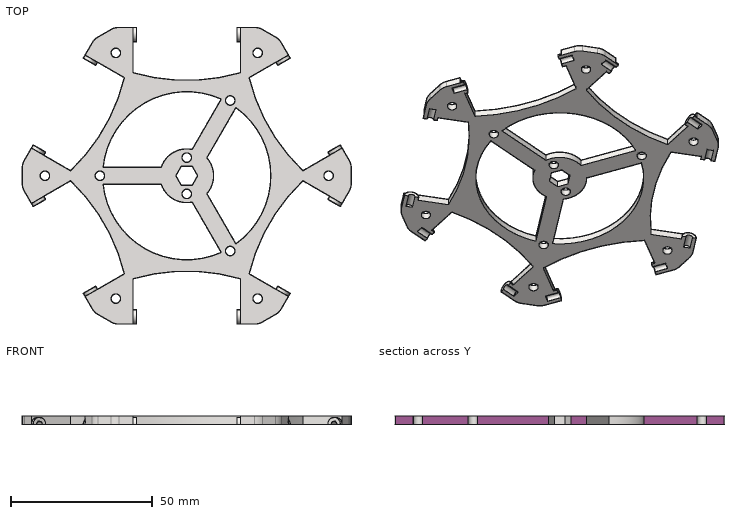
import cadquery as cq
import math

thickness = 3.0
foot_count = 6
tip_distance = 58.0
shoulder_distance = 52.3
tip_corner_radius = 5.6

gap_width = 37.8
gap_floor = 33.6
gap_floor_radius = 67.3

window_radius = 29.6
hub_radius = 9.5
spoke_width = 6.0
spoke_angles = (60, 180, 300)

hole_diameter = 3.2
foot_hole_distance = 50.0
spoke_hole_distance = 30.6
hub_hole_distance = 6.4
hub_hole_angles = (90, 270)
hex_across_flats = 6.6

socket_radius = 2.5
socket_length = 1.3
socket_bore_radius = 1.2
socket_bore_depth = 3.5
socket_distance = shoulder_distance - socket_radius

foot_pitch = 360 / foot_count
foot_angles = [foot_pitch * i for i in range(foot_count)]
gap_angles = [angle + foot_pitch / 2 for angle in foot_angles]


def turned(shape, angle):
    """Turn a shape about the plate axis."""
    return shape.rotate((0, 0, 0), (0, 0, 1), angle)


def polar(distance, angle):
    """Point at a distance and angle from the plate axis."""
    a = math.radians(angle)
    return (distance * math.cos(a), distance * math.sin(a))


def hexagon(across_flats, angle):
    """Hexagonal prism as thick as the plate, with one flat facing the given angle."""
    prism = cq.Workplane("XY").polygon(6, across_flats, circumscribed=True).extrude(thickness)
    return turned(prism, angle)


def disc(radius):
    return cq.Workplane("XY").circle(radius).extrude(thickness)


def blank():
    """Two crossed hexagons give each foot a blunt end and two shoulders, rounded between."""
    shoulders = hexagon(2 * shoulder_distance, gap_angles[0])
    tips = hexagon(2 * tip_distance, foot_angles[0])
    return shoulders.intersect(tips).edges("|Z").fillet(tip_corner_radius)


def gap():
    """Space between two feet, open towards +X, with a concave floor."""
    half = gap_width / 2
    sagitta = gap_floor_radius - math.sqrt(gap_floor_radius**2 - half**2)
    corner = gap_floor + sagitta
    return (
        cq.Workplane("XY")
        .moveTo(tip_distance, -half)
        .lineTo(corner, -half)
        .threePointArc((gap_floor, 0), (corner, half))
        .lineTo(tip_distance, half)
        .close()
        .extrude(thickness)
    )


def window():
    """Round window left open around the hub and the spokes."""
    opening = disc(window_radius).cut(disc(hub_radius))
    spoke = (
        cq.Workplane("XY")
        .center(spoke_hole_distance / 2, 0)
        .rect(spoke_hole_distance, spoke_width)
        .extrude(thickness)
    )
    for angle in spoke_angles:
        opening = opening.cut(turned(spoke, angle))
    return opening


def holes():
    """Round holes in the feet, at the spoke ends and in the hub."""
    points = [polar(foot_hole_distance, angle) for angle in foot_angles]
    points += [polar(spoke_hole_distance, angle) for angle in spoke_angles]
    points += [polar(hub_hole_distance, angle) for angle in hub_hole_angles]
    return cq.Workplane("XY").pushPoints(points).circle(hole_diameter / 2).extrude(thickness)


def half_rod(radius, start, end):
    """Upper half of a rod lying along Y on the bottom plane, from Y = start to Y = end."""
    profile = (
        cq.Workplane("XZ", origin=(socket_distance, start, 0))
        .moveTo(-radius, 0)
        .threePointArc((0, radius), (radius, 0))
        .close()
    )
    return profile.extrude(start - end)


plate = blank()
for angle in gap_angles:
    plate = plate.cut(turned(gap(), angle))
plate = plate.cut(window()).cut(holes()).cut(hexagon(hex_across_flats, gap_angles[0]))

foot_edge = gap_width / 2
socket_face = foot_edge - socket_length
bore_bottom = foot_edge + socket_bore_depth
for angle in gap_angles:
    for side in (1, -1):
        socket = half_rod(socket_radius, side * foot_edge, side * socket_face)
        bore = half_rod(socket_bore_radius, side * bore_bottom, side * socket_face)
        plate = plate.union(turned(socket, angle)).cut(turned(bore, angle))

result = plate